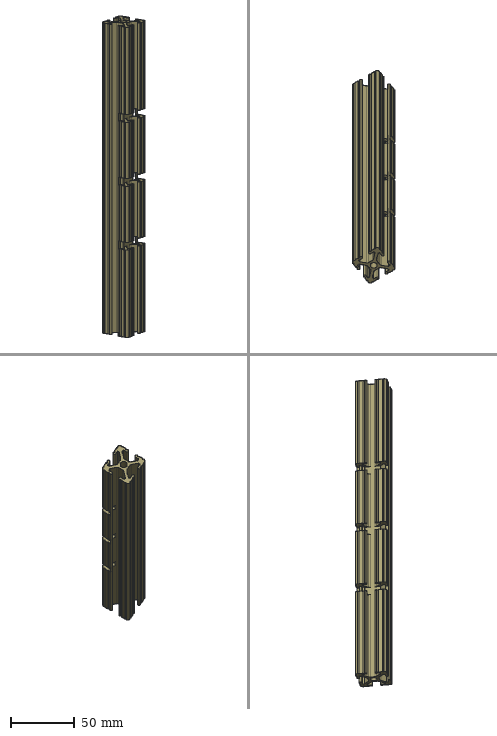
import cadquery as cq
import math

length = 254.0
width = 25.5
corner_radius = 2.3

slot_opening = 6.4
cavity_width = 14.5
lip_thickness = 2.2
core_width = 9.0
arm_thickness = 2.41
arm_fillet = 2.0
bore_diameter = 5.3

groove_outer = 10.7
groove_bottom = 9.7
groove_inner = 9.5
groove_depth = 0.5

channel_outer = 6.4
channel_inner = 4.8
channel_depth = 0.5
channel_floor_rise = 0.13

notch_count = 3
notch_height = 6.4
notch_pitch = 52.3

half = width / 2
core_half = core_width / 2
mouth = slot_opening / 2
lip_radius = lip_thickness / 2


def prism(outline):
    """Full-length prism from a closed outline in the XY plane."""
    return cq.Workplane("XY").polyline(outline).close().extrude(length)


def t_slot():
    """Cutter for the +Y slot: narrow mouth between round lips, wide cavity, floor on the core."""
    cavity = cavity_width / 2
    arm_offset = arm_thickness / math.sqrt(2)
    lip_inner = half - lip_thickness
    lip_middle = half - lip_radius
    lip_tangent = mouth + lip_radius
    floor_end = core_half - arm_offset
    slot = (
        cq.Workplane("XY")
        .moveTo(-lip_tangent, half)
        .lineTo(lip_tangent, half)
        .radiusArc((mouth, lip_middle), -lip_radius)
        .radiusArc((lip_tangent, lip_inner), -lip_radius)
        .lineTo(cavity, lip_inner)
        .lineTo(cavity, cavity + arm_offset)
        .lineTo(floor_end, core_half)
        .lineTo(-floor_end, core_half)
        .lineTo(-cavity, cavity + arm_offset)
        .lineTo(-cavity, lip_inner)
        .lineTo(-lip_tangent, lip_inner)
        .radiusArc((-mouth, lip_middle), -lip_radius)
        .radiusArc((-lip_tangent, half), -lip_radius)
        .close()
        .extrude(length)
    )
    return slot.edges("|Z").edges("<Y").fillet(arm_fillet)


def marking_groove(side):
    """Cutter for the marking groove on one half (side = 1 or -1) of the +Y face."""
    return prism([
        (side * groove_outer, half),
        (side * groove_inner, half),
        (side * groove_bottom, half - groove_depth),
    ])


def lip_channel(side):
    """Cutter for the lip channel on one half (side = 1 or -1) of the +Y face."""
    return prism([
        (side * channel_outer, half),
        (side * channel_outer, half - channel_depth),
        (side * channel_inner, half - channel_depth + channel_floor_rise),
        (side * channel_inner, half),
    ])


def notch(z):
    """Cutter for one notch centred at height z."""
    depth = half - core_half
    return cq.Workplane("XY").box(depth, width, notch_height).translate((core_half + depth / 2, 0, z))


bar = cq.Workplane("XY").rect(width, width).extrude(length)
bar = bar.edges("|Z").fillet(corner_radius)

face_cutters = [t_slot()]
for side in (1, -1):
    face_cutters += [marking_groove(side), lip_channel(side)]
for turn in range(4):
    for cutter in face_cutters:
        bar = bar.cut(cutter.rotate((0, 0, 0), (0, 0, 1), 90 * turn))

bar = bar.cut(cq.Workplane("XY").circle(bore_diameter / 2).extrude(length))

first_notch = length / 2 - notch_pitch * (notch_count - 1) / 2
for index in range(notch_count):
    bar = bar.cut(notch(first_notch + index * notch_pitch))

result = bar.translate((0, 0, -length / 2))